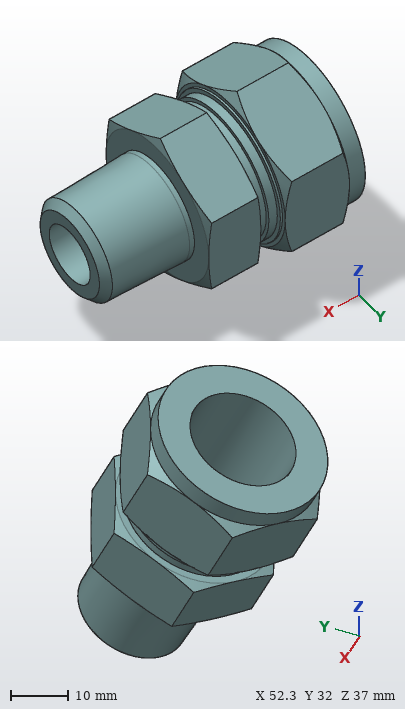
import cadquery as cq
import math

collar_end = 3.45
nut_end = 17.4
washer_end = 17.9
ring_end = 19.7
neck_end = 21.95
body_hex_end = 33.25
taper_start = 34.3
length = 52.3

nut_flats = 32.0
body_flats = 30.0
washer_radius = 15.2
ring_radius = 14.35
neck_radius = 13.55
stub_radius = 10.8
tube_bore_diameter = 20.0
through_bore_diameter = 12.0

nut_chamfer_angle = 30.0
body_chamfer_angle = 15.0
end_chamfer = 1.6
diameter_taper = 1 / 16

tube_bore_depth = neck_end


def cylinder(start, end, radius):
    """Round step on the X axis between two stations."""
    return cq.Workplane("YZ", origin=(start, 0, 0)).circle(radius).extrude(end - start)


def revolve_about_x(points):
    """Solid of revolution from (x, radius) points."""
    return cq.Workplane("XY").polyline(points).close().revolve(360, (0, 0, 0), (1, 0, 0))


def chamfered_hex(start, end, flats, chamfer_angle):
    """Hexagon with corners up and down, both ends coned down to the flats."""
    flat_radius = flats / 2
    corner_radius = flat_radius / math.cos(math.radians(30))
    chamfer_length = (corner_radius - flat_radius) * math.tan(math.radians(chamfer_angle))
    prism = (
        cq.Workplane("YZ", origin=(start, 0, 0))
        .polygon(6, 2 * corner_radius)
        .extrude(end - start)
        .rotate((0, 0, 0), (1, 0, 0), 90)
    )
    coned_envelope = revolve_about_x([
        (start, 0),
        (start, flat_radius),
        (start + chamfer_length, corner_radius),
        (end - chamfer_length, corner_radius),
        (end, flat_radius),
        (end, 0),
    ])
    return prism.intersect(coned_envelope)


def male_end():
    """Short straight stub, then the pipe taper with a 45 degree end chamfer."""
    taper_end = length - end_chamfer
    tip_radius = stub_radius - (taper_end - taper_start) * diameter_taper / 2
    return revolve_about_x([
        (body_hex_end, 0),
        (body_hex_end, stub_radius),
        (taper_start, stub_radius),
        (taper_end, tip_radius),
        (length, tip_radius - end_chamfer),
        (length, 0),
    ])


nut = cylinder(0, collar_end, nut_flats / 2).union(
    chamfered_hex(collar_end, nut_end, nut_flats, nut_chamfer_angle)
)

neck = (
    cylinder(nut_end, washer_end, washer_radius)
    .union(cylinder(washer_end, ring_end, ring_radius))
    .union(cylinder(ring_end, neck_end, neck_radius))
)

body = chamfered_hex(neck_end, body_hex_end, body_flats, body_chamfer_angle).union(male_end())

tube_bore = cylinder(0, tube_bore_depth, tube_bore_diameter / 2)
through_bore = cylinder(0, length, through_bore_diameter / 2)

result = nut.union(neck).union(body).cut(tube_bore).cut(through_bore)